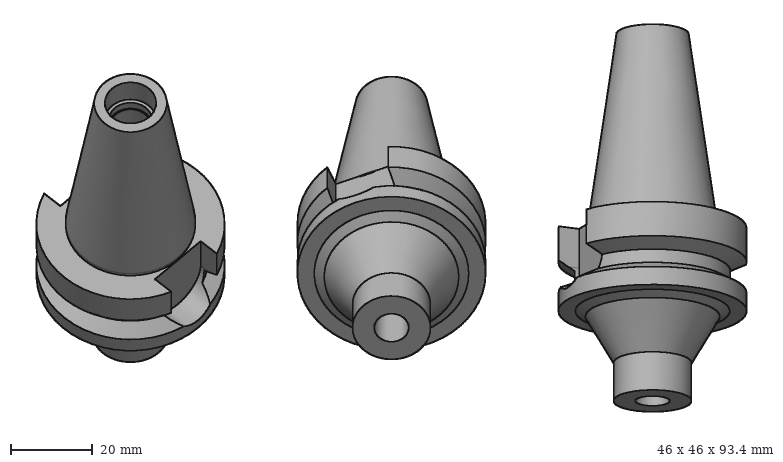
import cadquery as cq

total_height = 93.4
nose_top = 9.7
neck_top = 21.5
flange_bottom = 22.9
lower_rim_top = 27.5
groove_floor_bottom = 29.7
groove_floor_top = 33.1
upper_rim_bottom = 35.3
flange_top = 44.0
gauge_line = 44.9

flange_radius = 23.02
groove_radius = 19.1
nose_radius = 9.5
neck_radius = 16.4
flange_relief_radius = 18.9
taper_large_radius = 15.9
taper_small_radius = 8.9

slot_width = 16.1
slot_radius = slot_width / 2
slot_bottom = 26.0
slot_floor_distance = 16.1

counterbore_diameter = 12.5
counterbore_depth = 7.0
entry_diameter = 10.6
entry_depth = 9.3
thread_diameter = 10.0
thread_depth = 23.35
through_diameter = 8.4


def make_body():
    """Revolve the outer profile: nose, neck, grooved flange and taper."""
    profile = [
        (0, 0),
        (nose_radius, 0),
        (nose_radius, nose_top),
        (neck_radius, neck_top),
        (flange_relief_radius, flange_bottom),
        (flange_radius, flange_bottom),
        (flange_radius, lower_rim_top),
        (groove_radius, groove_floor_bottom),
        (groove_radius, groove_floor_top),
        (flange_radius, upper_rim_bottom),
        (flange_radius, flange_top),
        (taper_large_radius, flange_top),
        (taper_large_radius, gauge_line),
        (taper_small_radius, total_height),
        (0, total_height),
    ]
    return cq.Workplane("XZ").polyline(profile).close().revolve(360, (0, 0, 0), (0, 1, 0))


def make_slot(side):
    """Cutter for the drive slot on the -X (side = -1) or +X (side = 1) flank."""
    arc_center_height = slot_bottom + slot_radius
    return (
        cq.Workplane("YZ", origin=(side * slot_floor_distance, 0, 0))
        .moveTo(-slot_radius, flange_top)
        .lineTo(-slot_radius, arc_center_height)
        .threePointArc((0, slot_bottom), (slot_radius, arc_center_height))
        .lineTo(slot_radius, flange_top)
        .close()
        .extrude(side * flange_radius)
    )


def make_bore(diameter, depth):
    """Cylindrical cutter reaching down from the small end of the taper."""
    return cq.Workplane("XY", origin=(0, 0, total_height)).circle(diameter / 2).extrude(-depth)


result = make_body()

for side in (-1, 1):
    result = result.cut(make_slot(side))

bore_steps = [
    (through_diameter, total_height),
    (thread_diameter, thread_depth),
    (entry_diameter, entry_depth),
    (counterbore_diameter, counterbore_depth),
]
for diameter, depth in bore_steps:
    result = result.cut(make_bore(diameter, depth))